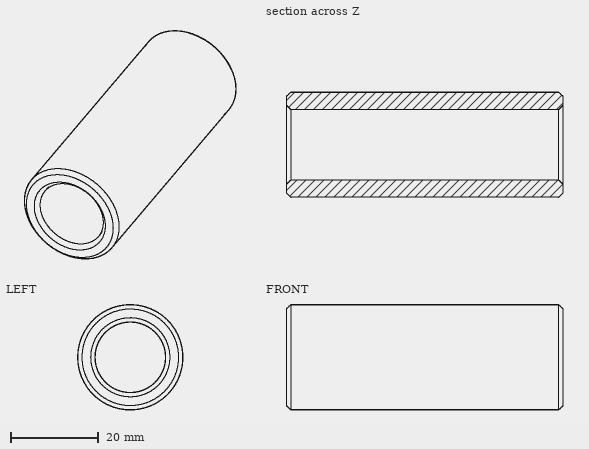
import cadquery as cq

length = 63.0
outer_diameter = 24.0
bore_diameter = 16.0
chamfer = 1.0

tube = (
    cq.Workplane("YZ", origin=(-length / 2, 0, 0))
    .circle(outer_diameter / 2)
    .circle(bore_diameter / 2)
    .extrude(length)
)

result = tube.faces("<X or >X").edges().chamfer(chamfer)